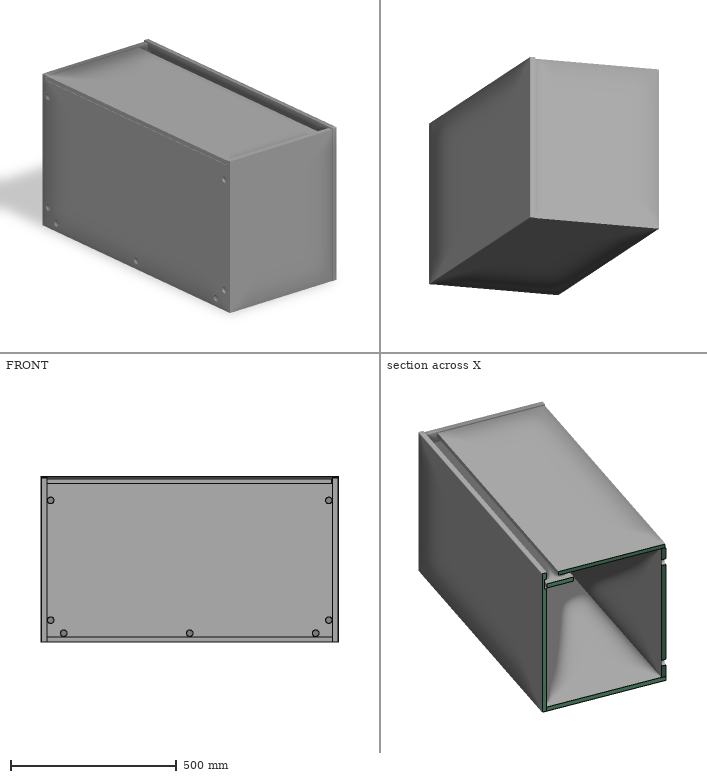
import cadquery as cq

door_width = 900.0
cabinet_depth = 415.0
door_height = 500.0
board = 16.0
door_round = 2.0

carcass_width = 895.0
side_height = 496.0
back_top = 479.0

top_thickness = 14.0
top_finger_gap = 39.0
top_rear_inset = 2.0
top_end_clearance = 3.0

rail_surface = 460.0
rail_depth = 90.0

groove_top = 476.0
groove_depth = 7.0
groove_end_clearance = 3.0

cam_diameter = 20.0
cam_depth = 13.0
cam_side_offset = 11.0
cam_bottom_offset = 11.0
cam_low = 67.0
cam_high = 428.0
cam_spread = 381.0

door_inner_face = cabinet_depth - board
inner_width = carcass_width - 2 * board
inner_left = -inner_width / 2
inner_right = inner_width / 2
rail_underside = rail_surface - board


def make_board(size, corner):
    """Rectangular board from its lowest corner."""
    return cq.Workplane("XY").box(*size, centered=False).translate(corner)


def make_door():
    door = make_board((door_width, board, door_height), (-door_width / 2, door_inner_face, 0))
    door = door.edges(">Y or (|Y and >X) or (|Y and <X)").fillet(door_round)
    groove = make_board(
        (inner_width - 2 * groove_end_clearance, groove_depth, groove_top - rail_underside),
        (inner_left + groove_end_clearance, door_inner_face, rail_underside),
    )
    return door.cut(groove)


def make_side(left_face):
    return make_board((board, door_inner_face, side_height), (left_face, 0, 0))


def make_bottom():
    return make_board((inner_width, door_inner_face, board), (inner_left, 0, 0))


def make_top():
    length = inner_width - top_end_clearance
    depth = door_inner_face - top_finger_gap - top_rear_inset
    return make_board((length, depth, top_thickness), (inner_left, top_rear_inset, back_top))


def make_back():
    back = make_board((inner_width, board, back_top - board), (inner_left, 0, board))
    cam_side = inner_right - cam_side_offset
    side_centres = [(x, z) for x in (-cam_side, cam_side) for z in (cam_low, cam_high)]
    bottom_centres = [(x, board + cam_bottom_offset) for x in (-cam_spread, 0, cam_spread)]
    cam_holes = (
        cq.Workplane("XZ")
        .pushPoints(side_centres + bottom_centres)
        .circle(cam_diameter / 2)
        .extrude(-cam_depth)
    )
    return back.cut(cam_holes)


def make_rail():
    return make_board(
        (inner_width, rail_depth, board),
        (inner_left, door_inner_face - rail_depth, rail_underside),
    )


door = make_door()
sides = [make_side(left_face) for left_face in (-carcass_width / 2, inner_right)]
bottom = make_bottom()
top = make_top()
back = make_back()
rail = make_rail()

result = cq.Compound.makeCompound(
    [door.val(), *[side.val() for side in sides], bottom.val(), top.val(), back.val(), rail.val()]
)